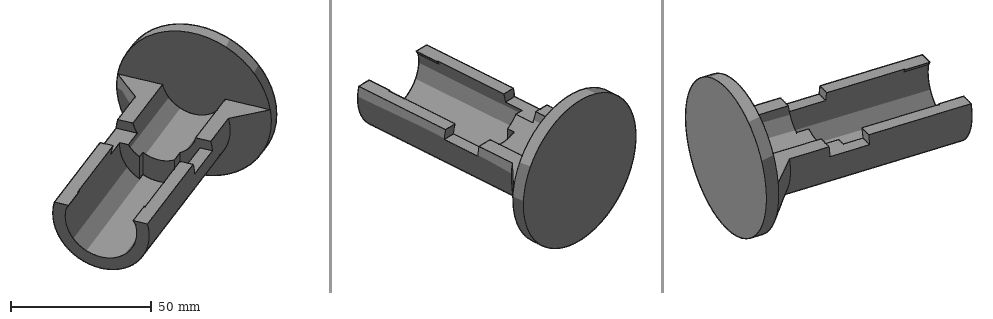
import cadquery as cq
import math

length = 90.0
flange_diameter = 60.0
flange_thickness = 5.0
cone_length = 11.0
body_radius = 18.7
flat_height = 4.95

bore_radius = 13.9

lip_length = 10.1
lip_bottom = 3.4
lip_half_gap = 12.5

channel_radius = 12.5
channel_floor = -4.6
channel_axis_height = channel_floor + channel_radius

notch_start = 32.1
notch_end = 48.2
notch_floor = 1.1
right_step = notch_start
middle_step = 37.2
left_step = 40.2
middle_step_half_width = 6.1


def cylinder(radius, start, end, axis_height=0.0):
    """Cylinder along Y between two distances from the back of the flange."""
    plane = cq.Workplane("XZ", origin=(0, -start, axis_height))
    return plane.circle(radius).extrude(end - start)


def block(x_min, x_max, start, end, z_min, z_max):
    """Box given by its X range, distances from the flange back and Z range."""
    corner = (x_min, -end, z_min)
    return cq.Workplane("XY", origin=corner).box(
        x_max - x_min, end - start, z_max - z_min, centered=False
    )


def make_outside():
    """Flange, conical neck and cylindrical body, cut flat above the axis."""
    flange_radius = flange_diameter / 2
    cone_end = flange_thickness + cone_length
    profile = [
        (0, -flange_thickness),
        (flange_radius, -flange_thickness),
        (body_radius, -cone_end),
        (body_radius, -length),
        (0, -length),
    ]
    trough = cq.Workplane("XY").polyline(profile).close().revolve(360, (0, 0), (0, 1))
    above_flat = block(
        -flange_radius, flange_radius, flange_thickness, length, flat_height, flange_radius
    )
    return cylinder(flange_radius, 0, flange_thickness).union(trough.cut(above_flat))


def make_bore():
    """Wide bore with three stepped end walls, open at the front."""
    bore = cylinder(bore_radius, right_step, length)
    left_wall = block(
        -body_radius, -middle_step_half_width, right_step, left_step, -body_radius, body_radius
    )
    middle_wall = block(
        -middle_step_half_width, middle_step_half_width,
        right_step, middle_step, -body_radius, body_radius,
    )
    return bore.cut(left_wall).cut(middle_wall)


def make_lip(side):
    """Triangular lip on the bore wall; side is -1 for left and 1 for right."""
    root_half_width = math.sqrt(bore_radius**2 - lip_bottom**2)
    section = [
        (side * root_half_width, lip_bottom),
        (side * lip_half_gap, flat_height),
        (side * bore_radius, flat_height),
        (side * bore_radius, lip_bottom),
    ]
    plane = cq.Workplane("XZ", origin=(0, lip_length - length, 0))
    return plane.polyline(section).close().extrude(lip_length)


channel = cylinder(channel_radius, flange_thickness, left_step, channel_axis_height)
notch = block(-body_radius, body_radius, notch_start, notch_end, notch_floor, flat_height)

result = make_outside().cut(make_bore()).cut(channel).cut(notch)

for side in (-1, 1):
    result = result.union(make_lip(side))